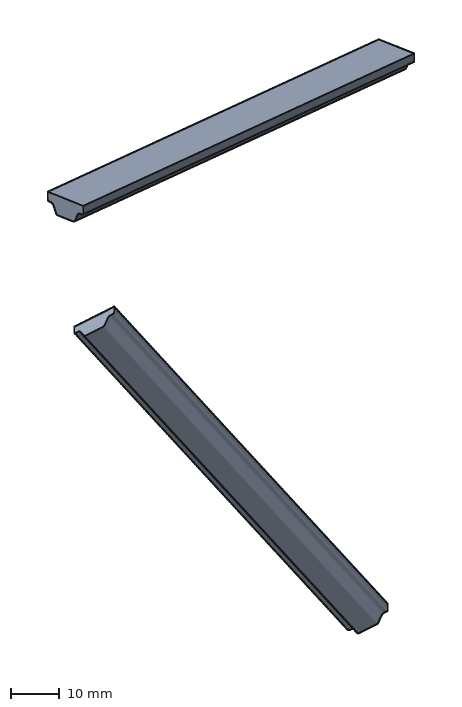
import cadquery as cq
import math

width = 10.0
length = 100.0
height = 4.5

flange_thickness = 2.1
stem_bottom_width = 5.0
flank_angle = 65.0

flange_edge_radius = 0.4
root_radius = 0.8
stem_edge_radius = 0.5

half_width = width / 2
top = height / 2
bottom = -height / 2
flange_bottom = top - flange_thickness
stem_height = height - flange_thickness
foot_x = stem_bottom_width / 2
root_x = foot_x + stem_height / math.tan(math.radians(flank_angle))

right_half = [
    (0, top),
    (half_width, top),
    (half_width, flange_bottom),
    (root_x, flange_bottom),
    (foot_x, bottom),
    (0, bottom),
]
rail = cq.Workplane("XZ").polyline(right_half).mirrorY().extrude(length / 2, both=True)


def round_edge_pair(body, x, z, radius):
    """Round the two mirrored long edges that pass through (+x, z) and (-x, z)."""
    for side in (1, -1):
        nearest = cq.selectors.NearestToPointSelector((side * x, 0, z))
        body = body.edges("|Y").edges(nearest).fillet(radius)
    return body


rail = round_edge_pair(rail, half_width, flange_bottom, flange_edge_radius)
rail = round_edge_pair(rail, root_x, flange_bottom, root_radius)
result = round_edge_pair(rail, foot_x, bottom, stem_edge_radius)